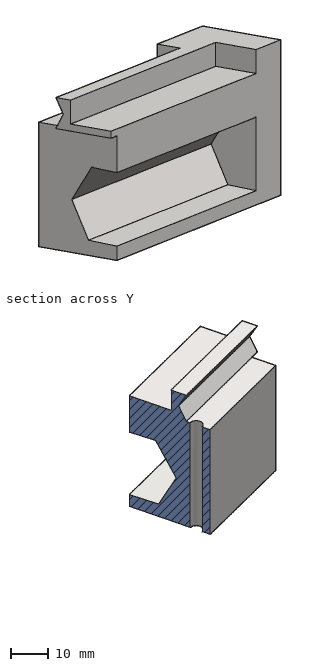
import cadquery as cq

width = 25.2
length = 82.1
height = 43.25
rail_overhang = 2.8

ledge_z = height - 8.6
ledge_back_y = length - 22.0
rail_edge_x = 7.4
vee_depth = 2.4
vee_mid_z = (ledge_z + height) / 2

step_x = 12.15
step_depth = 6.65
step_back_y = length - 11.9

pocket_profile = [
    (width, 24.45),
    (17.1, 24.7),
    (10.7, 14.8),
    (16.1, 4.3),
    (width, 4.0),
]
pocket_back_y = step_back_y

hole_diameter = 3.7
hole_x = 4.35
hole_y = 37.2


def prism(profile, front_y, back_y):
    """Extrude an XZ outline along Y between two positions."""
    return (
        cq.Workplane("XZ", origin=(0, front_y, 0))
        .polyline(profile)
        .close()
        .extrude(front_y - back_y)
    )


def box(x, y, z, corner):
    return cq.Workplane("XY").box(x, y, z, centered=False).translate(corner)


block = box(width, length, height, (0, 0, 0))

overhang_relief = box(width, rail_overhang, ledge_z, (0, 0, 0))

ledge_profile = [
    (0, ledge_z),
    (rail_edge_x, ledge_z),
    (rail_edge_x + vee_depth, vee_mid_z),
    (rail_edge_x, height),
    (0, height),
]
ledge = prism(ledge_profile, 0, ledge_back_y)

step = box(width - step_x, step_back_y, step_depth, (step_x, 0, height - step_depth))

pocket = prism(pocket_profile, 0, pocket_back_y)

hole = (
    cq.Workplane("XY")
    .center(hole_x, hole_y)
    .circle(hole_diameter / 2)
    .extrude(height)
)

result = block.cut(overhang_relief).cut(ledge).cut(step).cut(pocket).cut(hole)